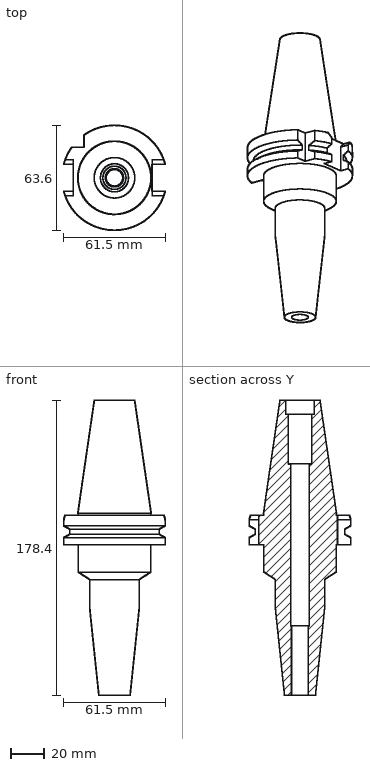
import cadquery as cq
import math


gauge_diameter = 44.45
taper_length = 68.4
taper_ratio = 7 / 24
taper_top_diameter = gauge_diameter - taper_length * taper_ratio

flange_diameter = 63.55
flange_top_z = -1.0
flange_bottom_z = -19.1
groove_center_z = -11.1
groove_mouth_width = 7.07
groove_root_diameter = 56.5
groove_half_angle = math.radians(30)

body_diameter = 44.0
body_bottom_z = -35.5
nose_diameter = 30.0
nose_shoulder_z = -40.0
nose_taper_start_z = -57.7
nose_tip_diameter = 19.0
nose_tip_z = -110.0

counterbore_diameter = 17.0
counterbore_depth = 8.5
thread_hole_diameter = 14.0
thread_hole_depth = 30.0
relief_diameter = 11.0
tool_bore_diameter = 10.0
tool_bore_depth = 42.0

slot_width = 16.1
slot_chamfer = 2.8
left_slot_floor = 25.0
right_slot_floor = 22.8
notch_offset = 18.5


def make_holder_body():
    """Revolve the outer half-profile, from the top of the taper to the nose tip."""
    flange_radius = flange_diameter / 2
    root_radius = groove_root_diameter / 2
    mouth_half = groove_mouth_width / 2
    root_half = mouth_half - (flange_radius - root_radius) * math.tan(groove_half_angle)
    profile = [
        (0, taper_length),
        (taper_top_diameter / 2, taper_length),
        (gauge_diameter / 2, 0),
        (body_diameter / 2, 0),
        (body_diameter / 2, flange_top_z),
        (flange_radius, flange_top_z),
        (flange_radius, groove_center_z + mouth_half),
        (root_radius, groove_center_z + root_half),
        (root_radius, groove_center_z - root_half),
        (flange_radius, groove_center_z - mouth_half),
        (flange_radius, flange_bottom_z),
        (body_diameter / 2, flange_bottom_z),
        (body_diameter / 2, body_bottom_z),
        (nose_diameter / 2, nose_shoulder_z),
        (nose_diameter / 2, nose_taper_start_z),
        (nose_tip_diameter / 2, nose_tip_z),
        (0, nose_tip_z),
    ]
    return cq.Workplane("XZ").polyline(profile).close().revolve(360, (0, 0), (0, 1))


def cylinder_between(diameter, bottom_z, top_z):
    """Solid cylinder on the holder axis between two heights."""
    return cq.Workplane("XY").workplane(offset=bottom_z).circle(diameter / 2).extrude(top_z - bottom_z)


def make_bore():
    """Stepped through bore along the axis."""
    counterbore_floor_z = taper_length - counterbore_depth
    thread_hole_bottom_z = counterbore_floor_z - thread_hole_depth
    tool_bore_top_z = nose_tip_z + tool_bore_depth
    bore = cylinder_between(counterbore_diameter, counterbore_floor_z, taper_length)
    bore = bore.union(cylinder_between(thread_hole_diameter, thread_hole_bottom_z, counterbore_floor_z))
    bore = bore.union(cylinder_between(relief_diameter, tool_bore_top_z, thread_hole_bottom_z))
    return bore.union(cylinder_between(tool_bore_diameter, nose_tip_z, tool_bore_top_z))


def make_drive_slot(floor_distance, side):
    """Slot through the flange height, chamfered along its top edges; side is +1 for +X, -1 for -X."""
    half_width = slot_width / 2
    outline = [
        (-half_width, flange_bottom_z),
        (half_width, flange_bottom_z),
        (half_width, flange_top_z - slot_chamfer),
        (half_width + slot_chamfer, flange_top_z),
        (-half_width - slot_chamfer, flange_top_z),
        (-half_width, flange_top_z - slot_chamfer),
    ]
    length = flange_diameter / 2 - floor_distance
    start = floor_distance if side > 0 else -flange_diameter / 2
    return cq.Workplane("YZ").workplane(offset=start).polyline(outline).close().extrude(length)


def make_orientation_notch():
    """Square-cornered notch through the flange in the -X, +Y quadrant."""
    reach = flange_diameter / 2 - notch_offset
    height = flange_top_z - flange_bottom_z
    corner = (-notch_offset - reach, notch_offset, flange_bottom_z)
    return cq.Workplane("XY").box(reach, reach, height, centered=False).translate(corner)


result = (
    make_holder_body()
    .cut(make_bore())
    .cut(make_drive_slot(left_slot_floor, -1))
    .cut(make_drive_slot(right_slot_floor, 1))
    .cut(make_orientation_notch())
)